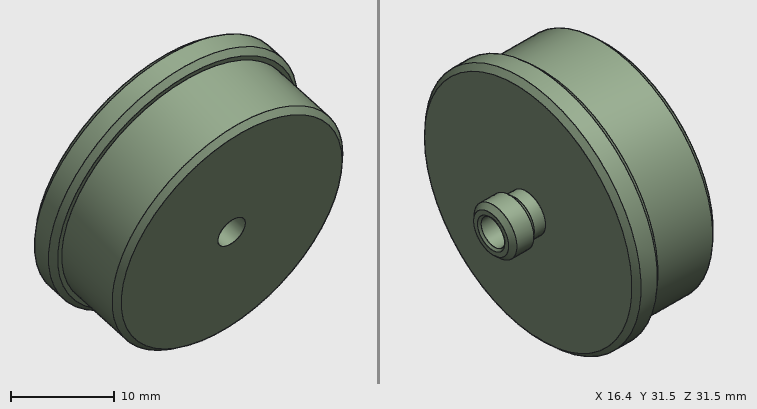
import cadquery as cq

total_length = 16.35
flange_start = 4.8
flange_thickness = 3.37
nipple_head_length = 3.35

flange_diameter = 31.5
body_diameter = 29.2
nipple_head_diameter = 6.25
nipple_neck_diameter = 5.07
bore_diameter = 3.45

disc_chamfer = 0.63
nipple_tip_chamfer = 0.57
bore_chamfer = 0.25


def cylinder(diameter, start, end):
    """Solid cylinder about the X axis between two X positions."""
    return cq.Workplane("YZ").workplane(offset=start).circle(diameter / 2).extrude(end - start)


flange_end = flange_start + flange_thickness

flange = cylinder(flange_diameter, flange_start, flange_end).faces("<X or >X").chamfer(disc_chamfer)
body = cylinder(body_diameter, flange_start + disc_chamfer, total_length).faces(">X").chamfer(disc_chamfer)

neck_step = (nipple_head_diameter - nipple_neck_diameter) / 2
nipple_head = (
    cylinder(nipple_head_diameter, 0, nipple_head_length)
    .faces("<X").chamfer(nipple_tip_chamfer)
    .faces(">X").chamfer(neck_step)
)
nipple_neck = cylinder(nipple_neck_diameter, nipple_head_length / 2, flange_end)

bore = cylinder(bore_diameter, 0, total_length)
mouth_diameter = bore_diameter + 2 * bore_chamfer
bore_mouth = cylinder(mouth_diameter, -bore_chamfer, bore_chamfer).faces(">X").chamfer(bore_chamfer)

result = flange.union(body).union(nipple_neck).union(nipple_head).cut(bore).cut(bore_mouth)